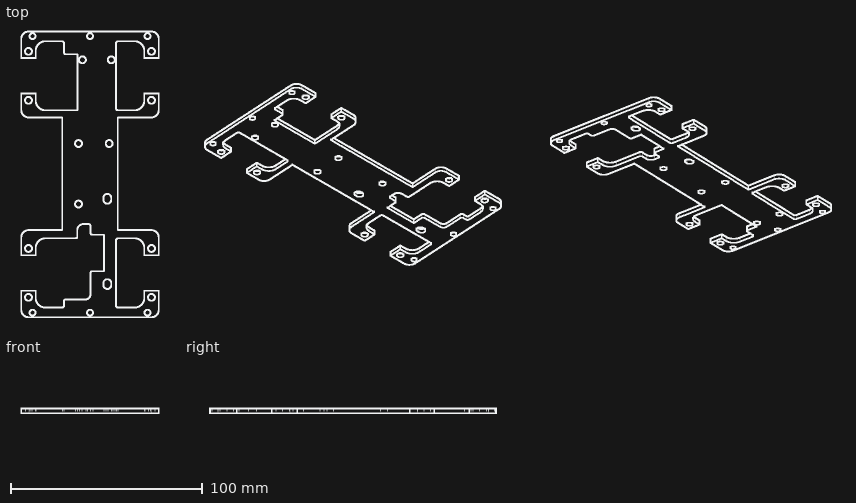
import cadquery as cq

width = 71.9
length = 149.3
thickness = 2.5
half_width = width / 2
half_length = length / 2

spine_half_width = 14.6
window_side = 13.6

foot_width = 7.65
foot_inner_x = half_width - foot_width
end_foot_tip_y = 60.7
end_bar_inner_y = 69.45
mid_foot_tip_y = 42.3
top_arm_inner_y = 33.5
top_arm_outer_y = 29.65
bottom_arm_inner_y = 33.4
bottom_arm_outer_y = 29.0

top_step_x = -6.55
top_step_y = 62.6
notch_left_x = -6.55
notch_right_x = 0.2
notch_top_y = -26.0
recess_right_x = 7.25
recess_top_y = -31.55
recess_bottom_y = -50.5
pocket_bottom_y = -65.2

corner_radius = 4.0
foot_fillet_radius = 5.0
notch_radius = 3.0
pocket_radius = 2.5
small_radius = 1.0

end_hole_diameter = 3.0
end_hole_x = 30.0
end_hole_y = 72.15
foot_hole_diameter = 3.5
foot_hole_x = 32.1
end_foot_hole_y = 64.2
mid_foot_hole_y = 38.65
board_hole_diameter = 3.5
board_holes = [(-3.95, 59.8), (11.1, 59.8), (-6.0, 16.1), (10.0, 16.1), (-6.0, -15.5)]
slot_width = 4.0
slot_length = 5.0
slot_x = 9.05
slot_ys = [-12.75, -57.25]


def right_side_corners():
    """Corners (x, y, radius) up the right edge, from bottom to top."""
    return [
        (half_width, -half_length, corner_radius),
        (half_width, -end_foot_tip_y, 0),
        (foot_inner_x, -end_foot_tip_y, 0),
        (foot_inner_x, -end_bar_inner_y, foot_fillet_radius),
        (window_side, -end_bar_inner_y, small_radius),
        (window_side, -bottom_arm_inner_y, small_radius),
        (foot_inner_x, -bottom_arm_inner_y, foot_fillet_radius),
        (foot_inner_x, -mid_foot_tip_y, 0),
        (half_width, -mid_foot_tip_y, 0),
        (half_width, -bottom_arm_outer_y, corner_radius),
        (spine_half_width, -bottom_arm_outer_y, 0),
        (spine_half_width, top_arm_outer_y, 0),
        (half_width, top_arm_outer_y, corner_radius),
        (half_width, mid_foot_tip_y, 0),
        (foot_inner_x, mid_foot_tip_y, 0),
        (foot_inner_x, top_arm_inner_y, foot_fillet_radius),
        (window_side, top_arm_inner_y, small_radius),
        (window_side, end_bar_inner_y, small_radius),
        (foot_inner_x, end_bar_inner_y, foot_fillet_radius),
        (foot_inner_x, end_foot_tip_y, 0),
        (half_width, end_foot_tip_y, 0),
        (half_width, half_length, corner_radius),
    ]


def left_side_corners():
    """Corners (x, y, radius) down the left edge, from top to bottom."""
    return [
        (-half_width, half_length, corner_radius),
        (-half_width, end_foot_tip_y, 0),
        (-foot_inner_x, end_foot_tip_y, 0),
        (-foot_inner_x, end_bar_inner_y, foot_fillet_radius),
        (-window_side, end_bar_inner_y, small_radius),
        (-window_side, top_step_y, small_radius),
        (top_step_x, top_step_y, 0),
        (top_step_x, top_arm_inner_y, 0),
        (-foot_inner_x, top_arm_inner_y, foot_fillet_radius),
        (-foot_inner_x, mid_foot_tip_y, 0),
        (-half_width, mid_foot_tip_y, 0),
        (-half_width, top_arm_outer_y, corner_radius),
        (-spine_half_width, top_arm_outer_y, 0),
        (-spine_half_width, -bottom_arm_outer_y, 0),
        (-half_width, -bottom_arm_outer_y, corner_radius),
        (-half_width, -mid_foot_tip_y, 0),
        (-foot_inner_x, -mid_foot_tip_y, 0),
        (-foot_inner_x, -bottom_arm_inner_y, foot_fillet_radius),
        (notch_left_x, -bottom_arm_inner_y, small_radius),
        (notch_left_x, notch_top_y, notch_radius),
        (notch_right_x, notch_top_y, small_radius),
        (notch_right_x, recess_top_y, small_radius),
        (recess_right_x, recess_top_y, 0),
        (recess_right_x, recess_bottom_y, 0),
        (notch_right_x, recess_bottom_y, small_radius),
        (notch_right_x, pocket_bottom_y, pocket_radius),
        (-window_side, pocket_bottom_y, small_radius),
        (-window_side, -end_bar_inner_y, small_radius),
        (-foot_inner_x, -end_bar_inner_y, foot_fillet_radius),
        (-foot_inner_x, -end_foot_tip_y, 0),
        (-half_width, -end_foot_tip_y, 0),
        (-half_width, -half_length, corner_radius),
    ]


def plate_blank():
    """Extrude the outline, then round each vertical corner that has a radius."""
    corners = right_side_corners() + left_side_corners()
    points = [(x, y) for x, y, _ in corners]
    blank = cq.Workplane("XY").polyline(points).close().extrude(thickness)
    for x, y, radius in corners:
        if radius > 0:
            corner_edge = cq.selectors.NearestToPointSelector((x, y, thickness / 2))
            blank = blank.edges("|Z").edges(corner_edge).fillet(radius)
    return blank


def drill(plate, centres, diameter):
    """Cut round through holes at the given centres."""
    holes = cq.Workplane("XY").pushPoints(centres).circle(diameter / 2).extrude(thickness)
    return plate.cut(holes)


def cut_slots(plate):
    """Cut the round-ended slots, which run along Y."""
    centres = [(slot_x, y) for y in slot_ys]
    slots = cq.Workplane("XY").pushPoints(centres).slot2D(slot_length, slot_width, 90).extrude(thickness)
    return plate.cut(slots)


end_holes = [
    (x, y)
    for x in (-end_hole_x, 0, end_hole_x)
    for y in (-end_hole_y, end_hole_y)
]
foot_holes = [
    (x, y)
    for x in (-foot_hole_x, foot_hole_x)
    for y in (-end_foot_hole_y, -mid_foot_hole_y, mid_foot_hole_y, end_foot_hole_y)
]

result = plate_blank()
result = drill(result, end_holes, end_hole_diameter)
result = drill(result, foot_holes, foot_hole_diameter)
result = drill(result, board_holes, board_hole_diameter)
result = cut_slots(result)